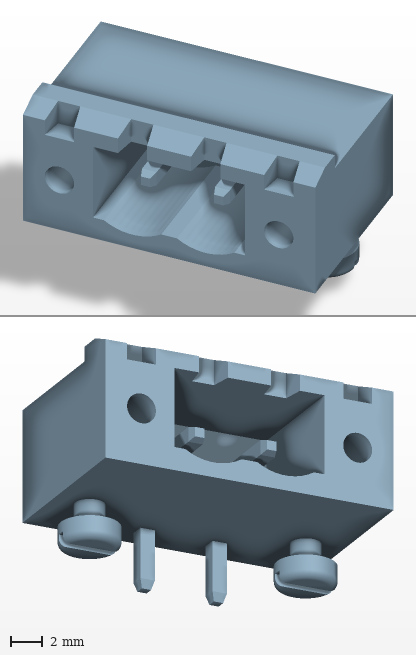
import cadquery as cq

length = 20.0
depth = 12.0
body_height = 7.6
lip_height = 8.6
lip_depth = 3.0
lip_chamfer_depth = 1.5
lip_chamfer_drop = 0.6

pitch = 5.0
contact_xs = (-pitch / 2, pitch / 2)
flange_xs = (-1.5 * pitch, 1.5 * pitch)
axis_height = 3.75

socket_width = 10.4
socket_floor = 1.55
socket_roof = 6.9
socket_depth = 8.4
scallop_width = 3.92
scallop_drop = 0.55

notch_front_width = 2.0
notch_back_width = 1.52
notch_depth = lip_chamfer_depth

pin_size = 1.0
pin_tip_size = 0.65
pin_tip_length = 0.6
pin_back_gap = 2.0
pin_y = depth - pin_back_gap
pin_front_y = 2.0
pin_bottom = -4.0

hole_diameter = 2.0
hole_depth = 5.0
screw_y = 7.5
shank_diameter = 2.0
shank_length = 1.5
head_diameter = 4.0
head_height = 1.5
head_fillet = 0.48
slot_width = 0.6
slot_depth = 0.75


def make_housing():
    """Side profile with the chamfered lip, extruded along the length."""
    return (
        cq.Workplane("YZ")
        .polyline([
            (0, 0),
            (depth, 0),
            (depth, body_height),
            (lip_depth, body_height),
            (lip_depth, lip_height),
            (lip_chamfer_depth, lip_height),
            (0, lip_height - lip_chamfer_drop),
        ])
        .close()
        .extrude(length / 2, both=True)
    )


def make_socket():
    """Rectangular cavity with a shallow scallop below each contact."""
    half = socket_width / 2
    outline = cq.Workplane("XZ").moveTo(-half, socket_roof).lineTo(-half, socket_floor)
    for x in contact_xs:
        outline = outline.lineTo(x - scallop_width / 2, socket_floor).threePointArc(
            (x, socket_floor - scallop_drop),
            (x + scallop_width / 2, socket_floor),
        )
    outline = outline.lineTo(half, socket_floor).lineTo(half, socket_roof).close()
    return outline.extrude(-socket_depth)


def make_notch(x):
    """Coding notch that narrows away from the mating face."""
    return (
        cq.Workplane("XY", origin=(x, 0, socket_roof))
        .polyline([
            (-notch_front_width / 2, 0),
            (notch_front_width / 2, 0),
            (notch_back_width / 2, notch_depth),
            (-notch_back_width / 2, notch_depth),
        ])
        .close()
        .extrude(lip_height - socket_roof)
    )


def make_leg(plane, straight_length):
    """Square bar along the plane normal, ending in a tapered tip."""
    bar = cq.Workplane(plane).rect(pin_size, pin_size).extrude(straight_length)
    tip = (
        cq.Workplane(plane)
        .workplane(offset=straight_length)
        .rect(pin_size, pin_size)
        .workplane(offset=pin_tip_length)
        .rect(pin_tip_size, pin_tip_size)
        .loft(combine=True)
    )
    return bar.union(tip)


def make_pin(x):
    """Right-angle contact: one leg into the socket, one leg to the board."""
    corner = (x, pin_y, axis_height)
    forward = cq.Plane(origin=corner, xDir=(1, 0, 0), normal=(0, -1, 0))
    downward = cq.Plane(origin=corner, xDir=(1, 0, 0), normal=(0, 0, -1))
    contact = make_leg(forward, pin_y - pin_front_y - pin_tip_length)
    tail = make_leg(downward, axis_height - pin_bottom - pin_tip_length)
    return contact.union(tail)


def make_screw(x):
    """Slotted cheese-head screw hanging below the housing."""
    shank = cq.Workplane("XY", origin=(x, screw_y, 0)).circle(shank_diameter / 2).extrude(-shank_length)
    head = (
        cq.Workplane("XY", origin=(x, screw_y, -shank_length))
        .circle(head_diameter / 2)
        .extrude(-head_height)
        .faces("<Z")
        .edges()
        .fillet(head_fillet)
    )
    slot = (
        cq.Workplane("XY", origin=(x, screw_y, -shank_length - head_height))
        .rect(head_diameter, slot_width)
        .extrude(slot_depth)
    )
    return shank.union(head.cut(slot))


def make_flange_hole(x):
    """Blind hole in the mating face for the plug's locking screw."""
    return cq.Workplane("XZ", origin=(x, 0, axis_height)).circle(hole_diameter / 2).extrude(-hole_depth)


result = make_housing().cut(make_socket())

for x in contact_xs + flange_xs:
    result = result.cut(make_notch(x))

for x in contact_xs:
    result = result.union(make_pin(x))

for x in flange_xs:
    result = result.cut(make_flange_hole(x)).union(make_screw(x))